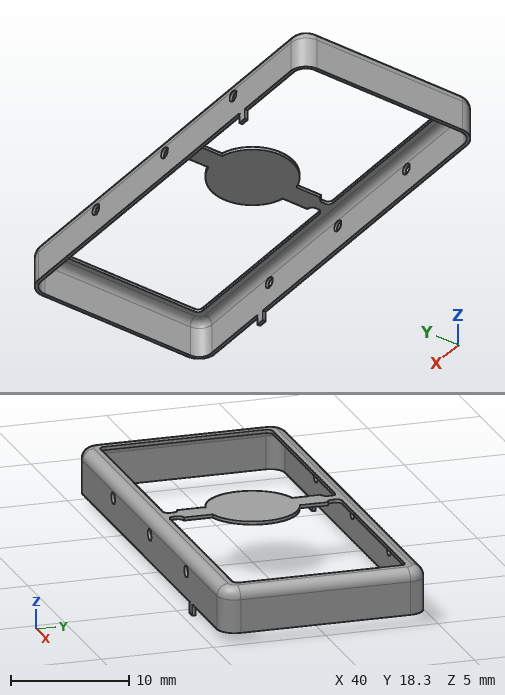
import cadquery as cq

length = 40.0
width = 18.3
total_height = 5.0
tab_drop = 1.0
frame_height = total_height - tab_drop

wall = 0.3
corner_radius = 1.6
top_radius = 1.0

rim = 1.5
opening_radius = 0.5

disc_diameter = 8.0
bridge_width = 2.0
neck_width = 1.0
notch_length = 2.0
notch_width = 1.25
notch_radius = 0.5

hole_diameter = 1.0
hole_pitch = 10.0
hole_depth_from_top = 1.6

tab_width = 0.8
tab_spacing = 22.65

opening_length = length - 2 * rim
opening_width = width - 2 * rim


def rounded_block(inset):
    """Block inset from the outer faces, with matching vertical and top rounds."""
    return (
        cq.Workplane("XY")
        .box(length - 2 * inset, width - 2 * inset, frame_height - inset, centered=(True, True, False))
        .edges("|Z").fillet(corner_radius - inset)
        .faces(">Z").edges().fillet(top_radius - inset)
    )


def skin_prism(size_x, size_y):
    """Centred prism as thick as the top skin."""
    return (
        cq.Workplane("XY", origin=(0, 0, frame_height - wall))
        .box(size_x, size_y, wall, centered=(True, True, False))
    )


def window_cut():
    """The two top windows, leaving the disc and its necked bridges."""
    opening = skin_prism(opening_length, opening_width).edges("|Z").fillet(opening_radius)
    bridge = skin_prism(bridge_width, opening_width)
    disc = (
        cq.Workplane("XY", origin=(0, 0, frame_height - wall))
        .circle(disc_diameter / 2)
        .extrude(wall)
    )
    windows = opening.cut(bridge).cut(disc)

    notch_x = (neck_width + notch_length) / 2
    notch_y = (opening_width - notch_width) / 2
    notch = skin_prism(notch_length, notch_width).edges("|Z").fillet(notch_radius)
    for side_x in (-1, 1):
        for side_y in (-1, 1):
            windows = windows.union(notch.translate((side_x * notch_x, side_y * notch_y, 0)))
    return windows


def wall_holes():
    """Three round holes passing through both long walls."""
    return (
        cq.Workplane("XZ", origin=(0, 0, frame_height - hole_depth_from_top))
        .rarray(hole_pitch, 0.4, 3, 1)
        .circle(hole_diameter / 2)
        .extrude(width / 2, both=True)
    )


def tabs():
    """Two diagonally opposite tabs continuing the long walls, flush with both wall faces."""
    tab_x = tab_spacing / 2
    tab_y = (width - wall) / 2
    return (
        cq.Workplane("XY", origin=(0, 0, -tab_drop))
        .pushPoints([(-tab_x, tab_y), (tab_x, -tab_y)])
        .rect(tab_width, wall)
        .extrude(tab_drop + wall)
    )


result = (
    rounded_block(0)
    .cut(rounded_block(wall))
    .cut(window_cut())
    .cut(wall_holes())
    .union(tabs())
)